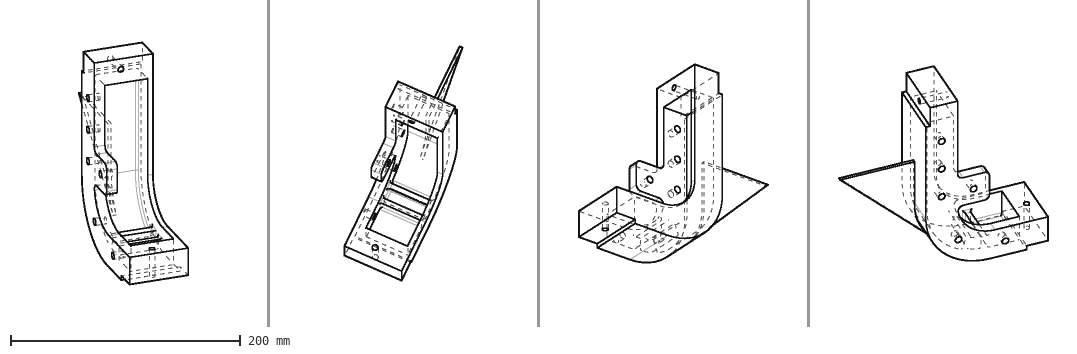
import cadquery as cq
import math


tolerance = 0.2

overall_length = 185.5
housing_length = 115.0
housing_height = 180.0
housing_depth = 55.0
leg = 30.0
outer_radius = 60.0
inner_radius = 35.0
inner_center = leg + inner_radius
step_depth = 4.0
step_length = 20.0

tab_reach = 60.0
tab_height = leg
tab_bottom = inner_center
tab_middle = tab_bottom + tab_height / 2
tab_radius = 5.0

front_wall = 10.0
back_wall = 5.0
shell = 5.0
end_block = 23.0
cavity_radius = outer_radius - shell
cavity_depth = housing_depth - front_wall - back_wall
cavity_back = housing_depth - back_wall
cavity_right = housing_length - end_block
cavity_top = housing_height - end_block
cavity_fillet = 2.0

rib_thickness = 5.0
rib_top_radius = 42.7
rib_angles = (0.9, 20.5)
rib_zone_left = 39.0
rib_zone_right = 63.0
rib_zone_top = 22.3

screw_diameter = 6.1
screw_pitch = leg
upright_screws = 3
tab_screw_x = 45.0
bend_screw = (30.8, 29.0)
lower_screw_x = 75.0
mount_diameter = 5.0
mount_inset = 10.0
mount_y = 24.9

fin_thickness = 3.0
fin_front = 24.5
fin_gap = 0.5
fin_tip = housing_length - overall_length

DIAGONAL = math.sqrt(0.5)


def front_plane(y):
    """XZ sketch plane at depth y; a negative extrusion goes towards +Y."""
    return cq.Workplane(cq.Plane(origin=(0, y, 0), xDir=(1, 0, 0), normal=(0, -1, 0)))


def leg_outline():
    mid_outer = outer_radius * (1 - DIAGONAL)
    mid_inner = inner_center - inner_radius * DIAGONAL
    return (
        front_plane(0)
        .moveTo(outer_radius, 0)
        .lineTo(housing_length - step_length, 0)
        .lineTo(housing_length - step_length, step_depth)
        .lineTo(housing_length, step_depth)
        .lineTo(housing_length, leg)
        .lineTo(inner_center, leg)
        .threePointArc((mid_inner, mid_inner), (leg, inner_center))
        .lineTo(leg, housing_height)
        .lineTo(step_depth, housing_height)
        .lineTo(step_depth, housing_height - step_length)
        .lineTo(0, housing_height - step_length)
        .lineTo(0, outer_radius)
        .threePointArc((mid_outer, mid_outer), (outer_radius, 0))
        .close()
    )


def make_tab_wall():
    """Front wall with the tab and its rounded corners."""
    tab = (
        front_plane(0)
        .moveTo(shell, tab_bottom)
        .lineTo(tab_reach, tab_bottom)
        .lineTo(tab_reach, tab_bottom + tab_height)
        .lineTo(shell, tab_bottom + tab_height)
        .close()
        .extrude(-front_wall)
    )
    wall = leg_outline().extrude(-front_wall).union(tab)
    corners = cq.selectors.BoxSelector(
        (leg - tolerance, 0, tab_bottom - tab_radius),
        (tab_reach + tolerance, front_wall, tab_bottom + tab_height + tolerance),
    )
    return wall.edges("|Y").edges(corners).fillet(tab_radius)


def make_rib(angle):
    rib_length = outer_radius - rib_top_radius
    return (
        front_plane(front_wall)
        .center(outer_radius, outer_radius)
        .transformed(rotate=(0, 0, -angle))
        .center(0, -rib_top_radius - rib_length / 2)
        .rect(rib_thickness, rib_length)
        .extrude(-cavity_depth)
    )


def make_cavity():
    mid = outer_radius - cavity_radius * DIAGONAL
    cavity = (
        front_plane(front_wall)
        .moveTo(shell, cavity_top)
        .lineTo(shell, outer_radius)
        .threePointArc((mid, mid), (outer_radius, shell))
        .lineTo(cavity_right, shell)
        .lineTo(cavity_right, cavity_top)
        .close()
        .extrude(-cavity_depth)
    )
    for angle in rib_angles:
        cavity = cavity.cut(make_rib(angle))
    return cavity


def is_rounded(edge):
    """True for the cavity edges along the floor and back wall, around the ribs and between them."""
    x, y, z = edge.Center().toTuple()
    bend_distance = math.hypot(x - outer_radius, z - outer_radius)
    at_top = z > cavity_top - tolerance
    on_end_wall = x > cavity_right - tolerance and z > shell + tolerance
    if at_top or on_end_wall:
        return False
    if y > cavity_back - tolerance:
        return True
    if y < front_wall + tolerance:
        return rib_zone_left < x < rib_zone_right and z < rib_zone_top
    on_rib_top = bend_distance < rib_top_radius + 2 * tolerance
    on_upright_wall = z > outer_radius - tolerance
    return not on_rib_top and not on_upright_wall


def round_cavity(cavity):
    edges = [edge for edge in cavity.edges().vals() if is_rounded(edge)]
    return cavity.newObject(edges).fillet(cavity_fillet)


def make_screw_holes():
    """Holes through the front wall: tab, upright leg, bend and lower leg."""
    places = [(tab_screw_x, tab_middle), bend_screw, (lower_screw_x, leg / 2)]
    for step in range(upright_screws):
        places.append((leg / 2, tab_middle + step * screw_pitch))
    return front_plane(0).pushPoints(places).circle(screw_diameter / 2).extrude(-front_wall)


def make_mount_holes():
    """One hole through the end of each leg."""
    radius = mount_diameter / 2
    upright = (
        cq.Workplane("YZ")
        .center(mount_y, housing_height - mount_inset)
        .circle(radius)
        .extrude(leg)
    )
    lower = (
        cq.Workplane("XY")
        .center(housing_length - mount_inset, mount_y)
        .circle(radius)
        .extrude(leg)
    )
    return upright.union(lower)


def make_housing():
    body = leg_outline().extrude(-housing_depth).union(make_tab_wall())
    body = body.cut(round_cavity(make_cavity()))
    return body.cut(make_screw_holes()).cut(make_mount_holes())


def make_fin():
    """Triangular plate whose sloping edge lies on the 45 degree tangent of the outer bend."""
    tangent_sum = 2 * outer_radius * (1 - DIAGONAL)
    fin_top = tangent_sum - fin_tip
    clearance_radius = outer_radius + fin_gap
    half_chord = math.sqrt(clearance_radius**2 - outer_radius**2)
    end_x = tangent_sum / 2 - half_chord * DIAGONAL
    end_z = tangent_sum - end_x
    end_angle = math.atan2(outer_radius - end_z, outer_radius - end_x)
    arc_middle = (
        outer_radius - clearance_radius * math.cos(end_angle / 2),
        outer_radius - clearance_radius * math.sin(end_angle / 2),
    )
    return (
        front_plane(fin_front)
        .moveTo(fin_tip, fin_top)
        .lineTo(-fin_gap, fin_top)
        .lineTo(-fin_gap, outer_radius)
        .threePointArc(arc_middle, (end_x, end_z))
        .close()
        .extrude(-fin_thickness)
    )


housing = make_housing()
fin = make_fin()
result = cq.Compound.makeCompound([housing.val(), fin.val()])